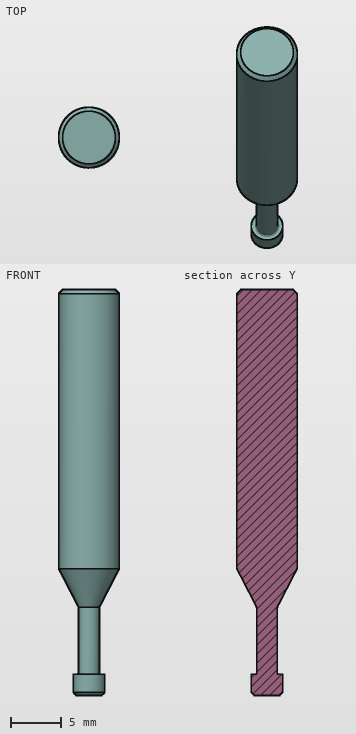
import cadquery as cq
import math

total_length = 40.0
shank_radius = 3.0
shank_chamfer = 0.4

neck_radius = 1.05
neck_top = 8.7
cone_top = 12.5

head_radius = 1.55
head_height = 2.1
head_chamfer = 0.3

neck_fillet = 0.1
fillet_mid_offset = neck_fillet * (1 - math.sqrt(0.5))

profile = (
    cq.Workplane("XZ")
    .moveTo(0, 0)
    .lineTo(head_radius - head_chamfer, 0)
    .lineTo(head_radius, head_chamfer)
    .lineTo(head_radius, head_height)
    .lineTo(neck_radius + neck_fillet, head_height)
    .threePointArc(
        (neck_radius + fillet_mid_offset, head_height + fillet_mid_offset),
        (neck_radius, head_height + neck_fillet),
    )
    .lineTo(neck_radius, neck_top)
    .lineTo(shank_radius, cone_top)
    .lineTo(shank_radius, total_length - shank_chamfer)
    .lineTo(shank_radius - shank_chamfer, total_length)
    .lineTo(0, total_length)
    .close()
)

result = profile.revolve(360, (0, 0, 0), (0, 1, 0))